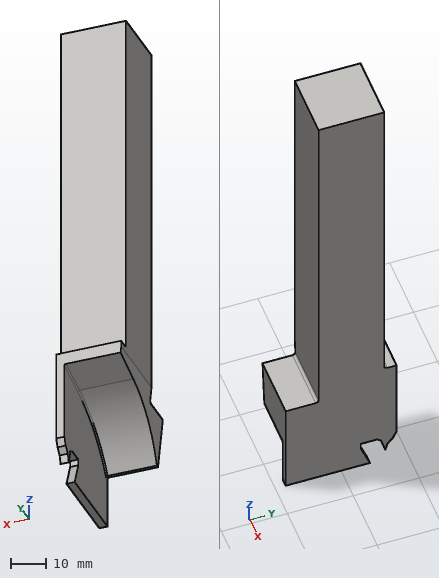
import cadquery as cq
import math

shank_side = 20.0
total_height = 149.0
shank_front = 10.0
shank_back = shank_front + shank_side

head_depth = 33.7
front_ledge_height = 32.0
back_ledge_height = 38.9
ledge_fillet = 0.9

relief_top = 37.0
relief_inset = 2.0

lip_height = 16.4
lip_depth = 1.0
underside_radius = 37.2
arc_end_depth = 23.2
arc_end_height = 32.3
underside_back_height = 35.0

blade_thickness = 2.5
blade_root_fillet = 0.5

pocket_roof = 9.2
clamp_root_height = 10.6
clamp_shoulder = (32.6, 8.2)
clamp_knee = (31.0, 6.4)
clamp_tip = (30.2, 3.9)
clamp_throat = (28.9, 8.3)
pocket_back = 27.7
pocket_front = 22.8
pocket_wall_bottom = 7.3
pocket_mouth = 25.6


def side_plane(x):
    """Plane at the given X whose local axes are Y and Z, facing +X."""
    return cq.Workplane("YZ", origin=(x, 0, 0))


def arc_middle(start, end, radius):
    """Middle of the short arc from start to end that bulges up and to -Y of the chord."""
    dy = end[0] - start[0]
    dz = end[1] - start[1]
    chord = math.hypot(dy, dz)
    bulge = radius - math.sqrt(radius**2 - (chord / 2) ** 2)
    middle_y = (start[0] + end[0]) / 2 - bulge * dz / chord
    middle_z = (start[1] + end[1]) / 2 + bulge * dy / chord
    return (middle_y, middle_z)


def make_holder():
    """Shank and full-height head, with filleted ledges."""
    outline = [
        (0, 0),
        (head_depth, 0),
        (head_depth, back_ledge_height),
        (shank_back, back_ledge_height),
        (shank_back, total_height),
        (shank_front, total_height),
        (shank_front, front_ledge_height),
        (0, front_ledge_height),
    ]
    holder = side_plane(0).polyline(outline).close().extrude(shank_side)
    for y, z in [(shank_front, front_ledge_height), (shank_back, back_ledge_height)]:
        corner = cq.selectors.NearestToPointSelector((shank_side / 2, y, z))
        holder = holder.edges(corner).fillet(ledge_fillet)
    return holder


def make_underside_cut():
    """Space below the head, beside the blade, rounded where the blade meets the underside."""
    arc_start = (lip_depth, lip_height)
    arc_end = (arc_end_depth, arc_end_height)
    arc_midpoint = arc_middle(arc_start, arc_end, underside_radius)
    blade_x = shank_side - blade_thickness
    space = (
        side_plane(0)
        .moveTo(0, 0)
        .lineTo(0, lip_height)
        .lineTo(*arc_start)
        .threePointArc(arc_midpoint, arc_end)
        .lineTo(head_depth, underside_back_height)
        .lineTo(head_depth, 0)
        .close()
        .extrude(blade_x)
    )
    lip_midpoint = (lip_depth / 2, lip_height)
    straight_midpoint = ((arc_end_depth + head_depth) / 2, (arc_end_height + underside_back_height) / 2)
    lip_edge, arc_edge, straight_edge = [
        cq.selectors.NearestToPointSelector((blade_x, *midpoint))
        for midpoint in (lip_midpoint, arc_midpoint, straight_midpoint)
    ]
    return space.edges(lip_edge + arc_edge + straight_edge).fillet(blade_root_fillet)


def make_relief_cut():
    """Wedge that tapers the -X face of the head inward toward the bottom."""
    relief_slope = relief_inset / (relief_top - lip_height)
    return (
        cq.Workplane("XZ")
        .polyline([(0, relief_top), (relief_slope * relief_top, 0), (0, 0)])
        .close()
        .extrude(-head_depth)
    )


def make_pocket_cut():
    """Insert pocket with the hooked clamp finger behind it."""
    outline = [
        (head_depth, 0),
        (head_depth, clamp_root_height),
        clamp_shoulder,
        clamp_knee,
        clamp_tip,
        clamp_throat,
        (pocket_back, pocket_roof),
        (pocket_front, pocket_roof),
        (pocket_front, pocket_wall_bottom),
        (pocket_mouth, 0),
    ]
    return side_plane(0).polyline(outline).close().extrude(shank_side)


result = (
    make_holder()
    .cut(make_underside_cut())
    .cut(make_relief_cut())
    .cut(make_pocket_cut())
)